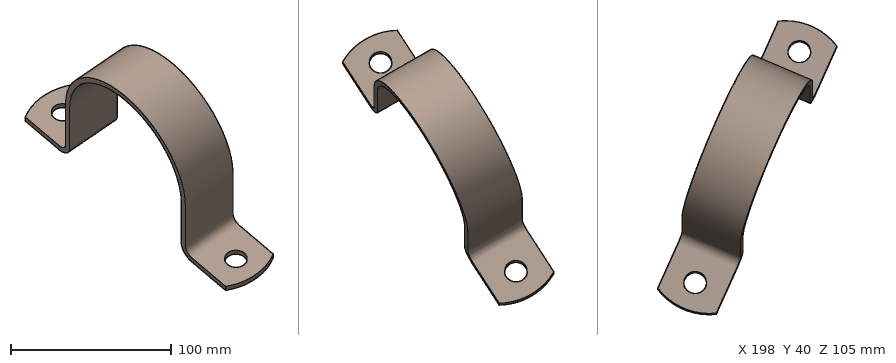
import cadquery as cq

length = 198.0
width = 40.0
height = 105.0
thickness = 4.0
arch_radius = 56.0
bend_radius = 6.0
end_radius = 40.0
hole_diameter = 14.0
hole_spacing = 162.0

half_length = length / 2
arch_center_z = height - arch_radius
arch_inner_radius = arch_radius - thickness
bend_center_x = arch_radius + bend_radius
bend_center_z = thickness + bend_radius
bend_outer_radius = bend_radius + thickness


def make_strap():
    """Bent strip: an arch on two straight legs with a foot on each side."""
    profile = (
        cq.Workplane("XZ")
        .moveTo(-half_length, 0)
        .lineTo(-bend_center_x, 0)
        .radiusArc((-arch_inner_radius, bend_center_z), -bend_outer_radius)
        .lineTo(-arch_inner_radius, arch_center_z)
        .threePointArc((0, height - thickness), (arch_inner_radius, arch_center_z))
        .lineTo(arch_inner_radius, bend_center_z)
        .radiusArc((bend_center_x, 0), -bend_outer_radius)
        .lineTo(half_length, 0)
        .lineTo(half_length, thickness)
        .lineTo(bend_center_x, thickness)
        .radiusArc((arch_radius, bend_center_z), bend_radius)
        .lineTo(arch_radius, arch_center_z)
        .threePointArc((0, height), (-arch_radius, arch_center_z))
        .lineTo(-arch_radius, bend_center_z)
        .radiusArc((-bend_center_x, thickness), bend_radius)
        .lineTo(-half_length, thickness)
        .close()
    )
    return profile.extrude(width / 2, both=True)


def make_rounded_envelope():
    """Upright block whose two ends are rounded to the foot outline."""
    half_width = width / 2
    end_center_x = half_length - end_radius
    corner_x = end_center_x + (end_radius**2 - half_width**2) ** 0.5
    return (
        cq.Workplane("XY")
        .moveTo(-corner_x, -half_width)
        .lineTo(corner_x, -half_width)
        .threePointArc((half_length, 0), (corner_x, half_width))
        .lineTo(-corner_x, half_width)
        .threePointArc((-half_length, 0), (-corner_x, -half_width))
        .close()
        .extrude(height)
    )


def make_hole_cutters():
    """One upright pin through each foot."""
    return (
        cq.Workplane("XY")
        .pushPoints([(-hole_spacing / 2, 0), (hole_spacing / 2, 0)])
        .circle(hole_diameter / 2)
        .extrude(thickness)
    )


result = make_strap().intersect(make_rounded_envelope()).cut(make_hole_cutters())